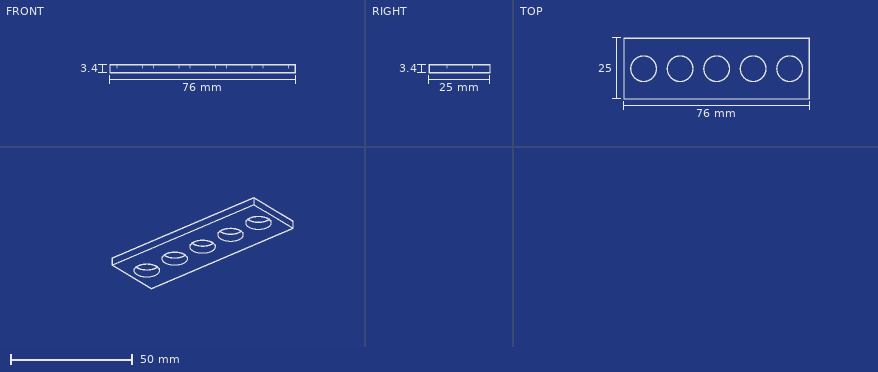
import cadquery as cq

length = 76.0
width = 25.0
thickness = 3.4

hole_count = 5
hole_diameter = 10.4
hole_pitch = 15.0

plate = cq.Workplane("XY").box(length, width, thickness, centered=(True, True, False))

result = (
    plate.faces(">Z")
    .workplane()
    .rarray(hole_pitch, 0.75, hole_count, 1)
    .hole(hole_diameter)
)